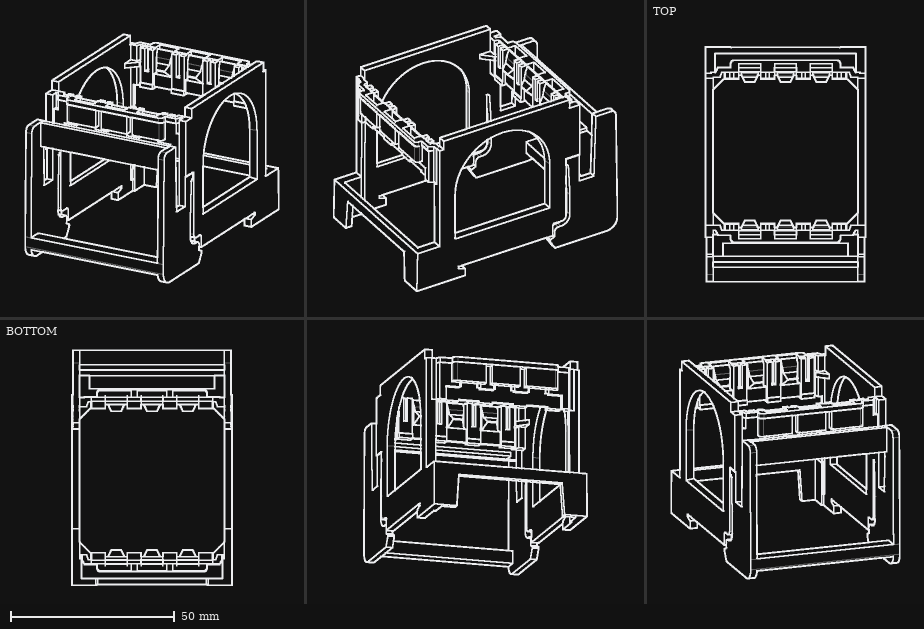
import cadquery as cq
import math

length = 72.1
width = 49.1
height = 52.5
half_width = width / 2
wall = 2.4
inner_x = half_width - wall

foot_bottom = 1.0
foot_top = 14.65
foot_top_y = 71.8
rear_y = 63.95
front_y = 13.6
top_rear_y = 62.45
top_front_y = 17.3
shoulder_z = 49.5
base_z = 5.0
hook_root_y = 57.1
hook_root_z = 4.25
hook_tip_y = 54.7
hook_tip_z = 3.45
joint_y = 18.6
joint_z = 31.2

arch_y = 41.4
arch_z = 31.65
arch_radius = 16.95
arch_bottom = 15.5
arch_narrowing = 0.4

foot_inner_x = 21.55
foot_bar = 1.9
foot_bar_bottom = 11.0
foot_gap_top_x = 16.6
foot_gap_bottom_x = 17.3

clip_inset = 0.3
clip_x = half_width - clip_inset
clip_top = 43.05
clip_top_front_y = 0.5
clip_top_rear_y = 7.7
clip_top_radius = 1.8
clip_corner = 3.9
slot_bottom = 21.55
slot_front_y = 8.45
grip_z = 7.15
grip_bottom = 3.2
grip_depth = 4.55
crossbar_bottom = 35.1
crossbar_top = 42.9
crossbar_front_y = 6.05
crossbar_rear_y = 7.85
lip_half = 19.2
lip_rear_y = 11.9
lip_bottom = 35.05
lip_top = 36.2

bracket_mid_y = 40.0
bay_pitch = 10.95
bay_width = 6.6
bay_count = 3
pillar_width = bay_pitch - bay_width
pillar_slot = 1.15
pillar_slot_bottom = 41.8
pillar_top = 49.2
pillar_face_y = 62.4
pillar_foot_y = 62.1
pillar_foot_height = 1.45
web_y = 64.2
end_face_y = 62.7
apron_y = 65.55
ledge_y = 65.8
panel_y = 67.65
slab_y = 67.9
slab_half = 16.9
slab_bottom = 47.9
panel_bottom = 42.05
apron_bottom = 36.4
apron_half = 20.7
recess_half = 18.7
recess_top = 40.6
bracket_corner = 1.1
pocket_inner_y = 64.4
pocket_outer_y = 66.85
pocket_floor_rise = 0.7
groove_width = 1.9
bay_panel_face_y = 63.3
bay_panel_bottom = 36.9
bay_panel_top = 41.1
tongue_width = 5.2
tongue_top = 49.2
tongue_top_y = 64.1
tongue_bend_y = 63.2
tongue_bend_z = 46.9
catch_tip_y = 61.2
catch_tip_width = 3.0
catch_root_y = 62.7
catch_root_z = 45.15
catch_tip_top = 43.55
catch_tip_bottom = 43.3
tongue_face_y = 63.45
notch_bottom = 44.6
gusset = 3.25
gusset_bottom = 43.05
gusset_top = 44.5
strip_top_x = 21.35
strip_bottom_x = 21.6


def box(x0, x1, y0, y1, z0, z1):
    """Block between two opposite corners."""
    return cq.Workplane("XY").box(x1 - x0, y1 - y0, z1 - z0, centered=False).translate((x0, y0, z0))


def both_sides(left):
    """Add the mirror image about the middle plane X = 0."""
    return left.union(left.mirror("YZ"))


def side_plane(x):
    """Sketch plane facing +X whose axes are Y and Z."""
    return cq.Workplane("YZ").workplane(offset=x)


def side_wall():
    """Left wall with the rail hook at the rear and the arched opening."""
    heel_y = 23.3
    heel_z = 9.2
    heel_bevel = 0.5
    heel_radius = 1.6
    heel_curve = math.sqrt(0.5) * heel_radius
    heel_y_centre = joint_y + heel_radius
    heel_z_centre = heel_z + heel_radius
    blank = (
        side_plane(-half_width)
        .moveTo(length, foot_bottom)
        .lineTo(foot_top_y, foot_top)
        .lineTo(rear_y, foot_top)
        .lineTo(rear_y, shoulder_z)
        .lineTo(top_rear_y, shoulder_z)
        .lineTo(top_rear_y, height)
        .lineTo(top_front_y, height)
        .lineTo(top_front_y, shoulder_z)
        .lineTo(front_y, shoulder_z)
        .lineTo(front_y, joint_z)
        .lineTo(joint_y, joint_z)
        .lineTo(joint_y, heel_z_centre)
        .threePointArc((heel_y_centre - heel_curve, heel_z_centre - heel_curve), (heel_y_centre, heel_z))
        .lineTo(heel_y - heel_bevel, heel_z)
        .lineTo(heel_y, heel_z - heel_bevel)
        .lineTo(heel_y, base_z)
        .lineTo(hook_root_y, base_z)
        .lineTo(hook_root_y, hook_root_z)
        .lineTo(hook_tip_y, hook_tip_z)
        .lineTo(hook_tip_y, foot_bottom)
        .close()
        .extrude(wall)
    )
    taper = math.degrees(math.atan(arch_narrowing / wall))
    opening = (
        side_plane(-half_width)
        .moveTo(arch_y - arch_radius, arch_bottom)
        .lineTo(arch_y + arch_radius, arch_bottom)
        .lineTo(arch_y + arch_radius, arch_z)
        .threePointArc((arch_y, arch_z + arch_radius), (arch_y - arch_radius, arch_z))
        .close()
        .extrude(wall, taper=taper)
    )
    return blank.cut(opening)


def clip_outline(x, thickness):
    """Clip side profile: release arm, finger slot and rail latch."""
    heel_radius = 3.25
    heel_z = 7.3
    latch_foot_y = 22.35
    latch_tip_y = 24.2
    latch_tip_z = 3.0
    latch_tip_bevel_y = 24.1
    latch_tip_bevel_z = 3.5
    latch_root_z = 4.25
    latch_y = 22.5
    latch_radius = 1.3
    gap_top = 28.9
    gap_y = 17.0
    gap_lean_z = 17.7
    gap_lean_y = 17.6
    gap_lean_top = 28.4
    gap_top_y = 18.2
    corner = clip_corner * (1 - math.sqrt(0.5))
    shoulder = latch_radius * (1 - math.sqrt(0.5))
    heel = heel_radius * (1 - math.sqrt(0.5))
    return (
        side_plane(x)
        .moveTo(joint_y, joint_z)
        .lineTo(front_y, joint_z)
        .lineTo(front_y, slot_bottom)
        .lineTo(slot_front_y, slot_bottom)
        .lineTo(clip_top_rear_y, clip_top)
        .lineTo(clip_top_front_y + clip_top_radius, clip_top)
        .radiusArc((clip_top_front_y, clip_top - clip_top_radius), -clip_top_radius)
        .lineTo(0, grip_z)
        .lineTo(0, clip_corner)
        .threePointArc((corner, corner), (clip_corner, 0))
        .lineTo(latch_foot_y, 0)
        .lineTo(latch_tip_y, latch_tip_z)
        .lineTo(latch_tip_bevel_y, latch_tip_bevel_z)
        .lineTo(latch_y, latch_root_z)
        .lineTo(latch_y, heel_z - latch_radius)
        .threePointArc((latch_y - shoulder, heel_z - shoulder), (latch_y - latch_radius, heel_z))
        .lineTo(gap_y + heel_radius, heel_z)
        .threePointArc((gap_y + heel, heel_z + heel), (gap_y, heel_z + heel_radius))
        .lineTo(gap_y, gap_lean_z)
        .lineTo(gap_lean_y, gap_lean_top)
        .lineTo(gap_top_y, gap_top)
        .lineTo(joint_y, gap_top)
        .close()
        .extrude(thickness)
    )


def clip():
    """Two clip plates joined by a lower grip bar and an upper crossbar with a lip."""
    plates = both_sides(clip_outline(-clip_x, clip_x - inner_x))
    grip = box(-clip_x, clip_x, 0, grip_depth, grip_bottom, grip_z)
    grip = grip.intersect(clip_outline(-clip_x, 2 * clip_x))
    crossbar = box(-inner_x, inner_x, crossbar_front_y, crossbar_rear_y, crossbar_bottom, crossbar_top)
    lip = box(-lip_half, lip_half, crossbar_rear_y, lip_rear_y, lip_bottom, lip_top)
    return plates.union(grip).union(crossbar).union(lip)


def rear_foot():
    """Thicker foot sides and the rear bar, which is open below between two legs."""
    slant = (
        side_plane(-half_width)
        .polyline([(rear_y, foot_bottom), (length, foot_bottom), (foot_top_y, foot_top), (rear_y, foot_top)])
        .close()
        .extrude(width)
    )
    hollow = box(-foot_inner_x, foot_inner_x, rear_y, foot_top_y - foot_bar, 0, height)
    gap = (
        cq.Workplane("XZ")
        .polyline([
            (-foot_gap_bottom_x, foot_bottom),
            (-foot_gap_top_x, foot_bar_bottom),
            (foot_gap_top_x, foot_bar_bottom),
            (foot_gap_bottom_x, foot_bottom),
        ])
        .close()
        .extrude(-length)
    )
    return slant.cut(hollow).cut(gap)


def corner_strip():
    """Tapered strip standing in the left rear corner, under the bracket."""
    return (
        cq.Workplane("XZ", origin=(0, end_face_y, 0))
        .polyline([
            (-inner_x, base_z),
            (-strip_bottom_x, base_z),
            (-strip_top_x, apron_bottom),
            (-inner_x, apron_bottom),
        ])
        .close()
        .extrude(end_face_y - rear_y)
    )


def raised_panel(outer_y, z0, z1):
    """Outer panel of the bracket with its two outer corners rounded."""
    panel = box(-slab_half, slab_half, web_y, outer_y, z0, z1)
    return panel.edges("|Z and >Y").fillet(bracket_corner)


def stepped_web(outer_y, z0, z1):
    """Web from wall to wall, stepped in plan at both ends."""
    end_step = 0.8
    inner_step_x = 19.55
    inner_step_end_x = 20.05
    overlap_x = inner_x + 0.7
    left_half = (
        cq.Workplane("XY", origin=(0, 0, z0))
        .polyline([
            (0, web_y),
            (-inner_step_x, web_y),
            (-inner_step_end_x, end_face_y),
            (-overlap_x, end_face_y),
            (-overlap_x, web_y),
            (-apron_half - end_step, web_y),
            (-apron_half, outer_y),
            (0, outer_y),
        ])
        .close()
        .extrude(z1 - z0)
    )
    return both_sides(left_half)


def bracket_body():
    """Apron under a slightly overhanging top slab, with the raised panel on the outside."""
    apron = stepped_web(apron_y, apron_bottom, slab_bottom)
    recess = box(-recess_half, recess_half, pocket_inner_y, apron_y, apron_bottom, recess_top)
    return (
        apron.cut(recess)
        .union(stepped_web(ledge_y, slab_bottom, shoulder_z))
        .union(raised_panel(slab_y, slab_bottom, shoulder_z))
        .union(raised_panel(panel_y, panel_bottom, slab_bottom))
    )


def bay_pocket(x):
    """Through pocket of one bay, with a ledge sloping inward at its lower outer side."""
    return (
        side_plane(x - bay_width / 2)
        .polyline([
            (pillar_foot_y, 0),
            (apron_y, 0),
            (apron_y, panel_bottom),
            (pocket_outer_y, panel_bottom + pocket_floor_rise),
            (pocket_outer_y, height),
            (pillar_foot_y, height),
        ])
        .close()
        .extrude(bay_width)
    )


def bay_tongue(x):
    """Low panel of one bay carrying the upright tongue and its snap catch."""
    left = x - bay_width / 2
    panel = box(left, left + bay_width, bay_panel_face_y, pocket_inner_y, bay_panel_bottom, bay_panel_top)
    tongue = (
        side_plane(x - tongue_width / 2)
        .polyline([
            (pocket_inner_y, bay_panel_bottom),
            (pocket_inner_y, tongue_top),
            (tongue_top_y, tongue_top),
            (tongue_bend_y, tongue_bend_z),
            (catch_root_y, catch_root_z),
            (catch_tip_y, catch_tip_top),
            (catch_tip_y, catch_tip_bottom),
            (tongue_face_y, bay_panel_top),
            (tongue_face_y, bay_panel_bottom),
        ])
        .close()
        .extrude(tongue_width)
    )
    plan = (
        cq.Workplane("XY")
        .polyline([
            (x - tongue_width / 2, pocket_inner_y),
            (x - tongue_width / 2, tongue_face_y),
            (x - catch_tip_width / 2, catch_tip_y),
            (x + catch_tip_width / 2, catch_tip_y),
            (x + tongue_width / 2, tongue_face_y),
            (x + tongue_width / 2, pocket_inner_y),
        ])
        .close()
        .extrude(height)
    )
    return panel.union(tongue.intersect(plan))


def pillar(x):
    """Slotted pillar between bays, standing on a slightly deeper foot."""
    left = x - pillar_width / 2
    right = x + pillar_width / 2
    post = box(left, right, pillar_face_y, web_y, apron_bottom, pillar_top)
    slot = box(x - pillar_slot / 2, x + pillar_slot / 2, 0, web_y, pillar_slot_bottom, height)
    foot = box(left, right, pillar_foot_y, web_y, apron_bottom, apron_bottom + pillar_foot_height)
    return post.cut(slot).union(foot)


def corner_gusset():
    """Thin gusset across the corner of the left wall, reaching the end pillar."""
    return (
        cq.Workplane("XY", origin=(0, 0, gusset_bottom))
        .polyline([
            (-inner_x, pillar_foot_y - gusset),
            (-inner_x, end_face_y),
            (-apron_half, end_face_y),
            (-apron_half, web_y),
            (-recess_half, web_y),
            (-recess_half, pillar_foot_y),
            (-inner_x + gusset, pillar_foot_y),
        ])
        .close()
        .extrude(gusset_top - gusset_bottom)
    )


def bracket():
    """Complete rear bracket."""
    body = bracket_body()
    for i in range(bay_count):
        x = (i - (bay_count - 1) / 2) * bay_pitch
        body = body.cut(bay_pocket(x)).union(bay_tongue(x))
    for i in range(bay_count + 1):
        x = (i - bay_count / 2) * bay_pitch
        body = body.union(pillar(x))
    for i in range(1, bay_count):
        x = (i - bay_count / 2) * bay_pitch
        half_groove = groove_width / 2
        body = body.cut(box(x - half_groove, x + half_groove, apron_y, slab_y, panel_bottom, slab_bottom))
    return body.union(both_sides(corner_gusset()))


def front_bracket(rear):
    """Mirrored bracket whose end notches are closed below by small blocks."""
    mirrored = rear.mirror("XZ").translate((0, 2 * bracket_mid_y, 0))
    outer_y = 2 * bracket_mid_y - apron_y
    inner_y = 2 * bracket_mid_y - web_y
    filler = box(-inner_x, -apron_half, outer_y, inner_y, apron_bottom, notch_bottom)
    return mirrored.union(both_sides(filler))


rear_bracket = bracket()
result = (
    both_sides(side_wall())
    .union(clip())
    .union(rear_foot())
    .union(both_sides(corner_strip()))
    .union(rear_bracket)
    .union(front_bracket(rear_bracket))
)